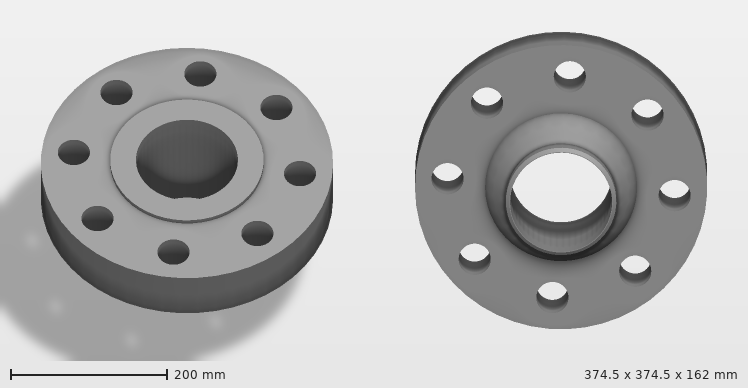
import cadquery as cq

flange_diameter = 374.5
flange_thickness = 73.0

face_diameter = 196.7
face_height = 6.5

overall_height = 162.0
neck_top_diameter = 195.0
neck_end_diameter = 141.5
neck_end_length = 27.7
weld_bevel = 4.5
bore_diameter = 130.8

bolt_count = 8
bolt_circle_diameter = 292.0
bolt_hole_diameter = 41.2
bolt_pitch_angle = 360 / bolt_count

face_z = overall_height
flange_top_z = face_z - face_height
flange_bottom_z = flange_top_z - flange_thickness


def make_body():
    """Revolve the flange, raised face and bored neck around Z."""
    bore_radius = bore_diameter / 2
    neck_end_radius = neck_end_diameter / 2
    half_profile = [
        (bore_radius, 0),
        (neck_end_radius - weld_bevel, 0),
        (neck_end_radius, weld_bevel),
        (neck_end_radius, neck_end_length),
        (neck_top_diameter / 2, flange_bottom_z),
        (flange_diameter / 2, flange_bottom_z),
        (flange_diameter / 2, flange_top_z),
        (face_diameter / 2, flange_top_z),
        (face_diameter / 2, face_z),
        (bore_radius, face_z),
    ]
    return cq.Workplane("XZ").polyline(half_profile).close().revolve(360, (0, 0, 0), (0, 1, 0))


def make_bolt_holes():
    """Cylinders that pass through the full flange thickness."""
    return (
        cq.Workplane("XY", origin=(0, 0, flange_bottom_z))
        .polarArray(bolt_circle_diameter / 2, bolt_pitch_angle / 2, 360, bolt_count)
        .circle(bolt_hole_diameter / 2)
        .extrude(flange_thickness)
    )


result = make_body().cut(make_bolt_holes())